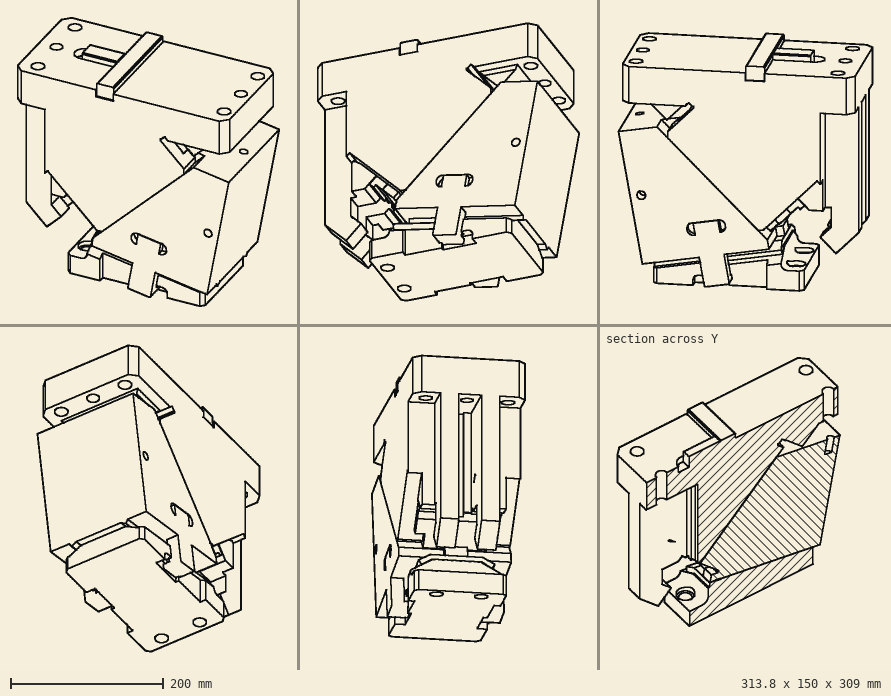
import cadquery as cq
import math

total_length = 313.8
half_width = 75.0

ramp_angle = math.radians(10)
ramp_x = 99.5
ramp_z = 53.0
crest_half = 33.0
flank_angle = math.radians(30)
liner_thickness = 8.0

incline_x = 117.0
incline_z = 74.0
diagonal = math.sqrt(0.5)

neck_half = 42.0
neck_height = 20.0
head_half = 55.0
head_height = 42.0
slot_length = 191.5

holder_length = 310.0
plate_bottom = 250.0
plate_top = 300.3
plate_chamfer = 10.0
column_x = 44.5
column_foot = 109.8
core_half = 56.0
core_height = 47.0
bar_low = 55.2
bar_high = 63.7
bar_projection = 4.5
end_setback = 10.5

gap_width = 9.5
gap_bottom = (213.5, 248.2)
column_nose_x = 248.2
column_tip_z = 85.0
column_tip_bevel = 5.3
notch_rise = 4.5

leg_inner = 15.0
leg_outer = 39.5
leg_tip = (30.0, 47.0)
leg_hook = (51.0, 68.5)
leg_back = 36.7
channel_x = 76.5
groove_half = 5.3
groove_depth = 6.3

bolt_diameter = 17.5
dowel_diameter = 16.3
front_holes_x = 24.8
front_holes_y = 55.0
rear_holes_x = 294.7
rear_holes_y = 50.0

key_top = 309.0
key_seat = 289.5
key_width = 25.5
cross_key_x = 119.2
cross_key_range = (cross_key_x, cross_key_x + key_width)
cross_key_half = 72.8
long_key_x = 68.7
long_key_seat_x = 52.0
key_chamfer = 1.5

rib_root = (226.0, 279.5)
rib_tip = (252.5, 223.5)
rib_half = 55.5
rib_flare = 4.5

slide_front = 12.2
slide_bottom = 8.8
slide_top = 192.0
slide_rear = (total_length - ramp_x - slide_top * math.sin(ramp_angle)) / math.cos(ramp_angle)

skirt_front = 20.7
skirt_half = 42.7
nose_top = 21.3
nose_half = 15.0
nose_chamfer = 2.5

hook_front = 73.0
hook_rear = 106.7
hook_top = 56.0
hook_toe = -32.3
hook_radius = 2.0
hook_inner = 57.7
toe_inner = 48.0
toe_height = 7.0
hook_seat_front = 64.3
hook_seat_rear = 116.5
hook_seat_v = 48.0
hook_seat_radius = 8.5
hook_seat_depth = 9.5
rounding_margin = 0.05

side_hole_x = 283.5
side_hole_z = 124.3
side_hole_diameter = 11.3
side_hole_depth = 18.8
top_hole_x = 298.7
top_hole_diameter = 10.7
top_hole_depth = 25.0

base_front = 69.7
base_rear = 270.2
base_chamfer = 5.3
flange_top = 27.3
flange_half = 61.5
shoulder_x = 118.5
base_half = 53.0
foot_radius = 8.5
liner_half = 50.8
liner_front = 2.0
liner_rear = 84.7
flange_hole_x = 84.7
flange_hole_y = 29.8
flange_hole_diameter = 17.5
flange_bore_diameter = 24.5
flange_bore_depth = 6.3
relief_front = 170.0
relief_rear = 216.8
relief_height = 14.0
relief_radius = 7.5


def ramp_point(u, v):
    """X and Z of a point given in ramp coordinates."""
    x = ramp_x + u * math.cos(ramp_angle) + v * math.sin(ramp_angle)
    z = ramp_z - u * math.sin(ramp_angle) + v * math.cos(ramp_angle)
    return x, z


def incline_point(along, up):
    """X and Z of a point given along and square to the sliding face."""
    return incline_x + (along - up) * diagonal, incline_z + (along + up) * diagonal


def side_prism(points, y_near, y_far):
    """Extrude an XZ outline between two Y positions."""
    sketch = cq.Workplane("XZ", origin=(0, y_near, 0)).polyline(points).close()
    return sketch.extrude(y_near - y_far)


def block(x_range, y_range, z_range):
    size = [high - low for low, high in (x_range, y_range, z_range)]
    corner = (x_range[0], y_range[0], z_range[0])
    return cq.Workplane("XY").box(*size, centered=False).translate(corner)


def ramp_prism(points, u_start, u_end):
    """Extrude a cross-section, given as (y, v) points, along the ramp."""
    x, z = ramp_point(u_start, 0)
    normal = (math.cos(ramp_angle), 0, -math.sin(ramp_angle))
    section = cq.Plane(origin=(x, 0, z), xDir=(0, 1, 0), normal=normal)
    return cq.Workplane(section).polyline(points).close().extrude(u_end - u_start)


def ramp_block(u_range, v_range, y_range):
    """Box with its sides along ramp coordinates."""
    u_low, u_high = u_range
    v_low, v_high = v_range
    corners = [(u_low, v_low), (u_high, v_low), (u_high, v_high), (u_low, v_high)]
    return side_prism([ramp_point(*corner) for corner in corners], *y_range)


def mirrored(points):
    """Complete a right-hand half outline, listed from top to bottom, with its left half."""
    return points + [(-y, v) for y, v in reversed(points)]


def both_sides(body):
    return body.union(body.mirror("XZ"))


def roof_edge(offset, y):
    """Height v of the ramp flank at y, for a layer this far above the bare ramp."""
    knee = crest_half + offset * math.tan(flank_angle / 2)
    return offset - (y - knee) * math.tan(flank_angle)


def roof_outline(offset, half, depth):
    """Cross-section under a crest and its two flanks, down to a flat bottom."""
    knee = crest_half + offset * math.tan(flank_angle / 2)
    return mirrored([(knee, offset), (half, roof_edge(offset, half)), (half, -depth)])


def tongue(length):
    """T-shaped guide standing on the sliding face."""
    def bar(low, high, half):
        corners = [(0, low), (length, low), (length, high), (0, high)]
        return side_prism([incline_point(*corner) for corner in corners], -half, half)

    neck = bar(0, neck_height, neck_half)
    return neck.union(bar(neck_height, head_height, head_half))


def holder_column():
    """Wide column under the plate, cut at 45 degrees above the slide."""
    gap_x, gap_z = gap_bottom
    nose_drop = column_nose_x - gap_x
    face_offset = incline_z - incline_x
    end_sum = incline_x + incline_z + end_setback / diagonal
    notch_x = column_x + notch_rise
    outline = [
        (column_x, gap_z + gap_width),
        (column_x, end_sum - notch_x - notch_rise),
        (notch_x, end_sum - notch_x),
        (end_sum - column_tip_z - column_tip_bevel, column_tip_z + column_tip_bevel),
        (end_sum - column_tip_z, column_tip_z),
        (column_tip_z - face_offset, column_tip_z),
        (column_nose_x, column_nose_x + face_offset),
        (column_nose_x, gap_z - nose_drop),
        gap_bottom,
        (gap_x, gap_z + gap_width),
    ]
    return side_prism(outline, -half_width, half_width)


def holder_core():
    """Narrow middle of the column, with a stop bar below it at the end of the tongue."""
    inside = end_setback + 6.3
    bar_bottom = incline_point(-bar_projection, bar_low)
    bar_top = incline_point(-bar_projection, bar_high)
    core = [
        (column_x, column_foot + core_height),
        (column_x, column_foot),
        (bar_top[0] - (bar_top[1] - column_foot), column_foot),
        bar_top,
        incline_point(inside, bar_high),
    ]
    bar = [
        bar_top,
        bar_bottom,
        incline_point(0, bar_low),
        incline_point(0, head_height),
        incline_point(inside, head_height),
        incline_point(inside, bar_high),
    ]
    return side_prism(core, -core_half, core_half).union(side_prism(bar, -head_half, head_half))


def holder_leg():
    """Hooked leg in front of the column."""
    outline = [
        (0, plate_bottom),
        (0, leg_tip[1] + leg_tip[0]),
        leg_tip,
        leg_hook,
        (leg_back, leg_hook[1] + leg_hook[0] - leg_back),
        (leg_back, column_foot),
        (column_x, column_foot),
        (column_x, plate_bottom),
    ]
    return side_prism(outline, leg_inner, leg_outer)


def stop_rib():
    """Triangular rib under the plate, flared where it joins."""
    root_front, root_rear = rib_root
    triangle = [(root_front, plate_bottom), rib_tip, (root_rear, plate_bottom)]
    wide = rib_half + rib_flare
    rib = side_prism(triangle, -wide, wide)
    outline = mirrored([
        (wide, plate_bottom),
        (rib_half, plate_bottom - rib_flare),
        (rib_half, rib_tip[1]),
    ])
    flare = cq.Workplane("YZ").polyline(outline).close().extrude(total_length)
    return rib.intersect(flare)


def top_keys():
    """Cross key and long key standing in their seats."""
    cross = block(cross_key_range, (-cross_key_half, cross_key_half), (key_seat, key_top))
    cross = cross.faces(">Z").edges("|Y").chamfer(key_chamfer)
    half = key_width / 2
    long = block((long_key_x, cross_key_x), (-half, half), (key_seat, key_top))
    long = long.faces(">Z").edges("|X").chamfer(key_chamfer)
    return cross.union(long)


def cut_key_seats(body):
    half = key_width / 2
    body = body.cut(block(cross_key_range, (-half_width, half_width), (key_seat, plate_top)))
    round_x = long_key_seat_x + half
    seat = block((round_x, cross_key_x), (-half, half), (key_seat, plate_top))
    round_end = cq.Workplane("XY", origin=(round_x, 0, key_seat)).circle(half).extrude(plate_top - key_seat)
    return body.cut(seat.union(round_end))


def cut_plate_holes(body):
    for x, y in ((front_holes_x, front_holes_y), (rear_holes_x, rear_holes_y)):
        plane = cq.Workplane("XY", origin=(0, 0, plate_bottom))
        height = plate_top - plate_bottom
        bolts = plane.pushPoints([(x, y), (x, -y)]).circle(bolt_diameter / 2).extrude(height)
        dowel = plane.center(x, 0).circle(dowel_diameter / 2).extrude(height)
        body = body.cut(bolts).cut(dowel)
    return body


def build_holder():
    plate = block((0, holder_length), (-half_width, half_width), (plate_bottom, plate_top))
    plate = plate.edges("|Z").chamfer(plate_chamfer)
    gap_x, gap_z = gap_bottom
    gap_step = gap_width * diagonal
    gap_outline = [
        gap_bottom,
        (gap_x + gap_step, gap_z + gap_step),
        (gap_x + 2 * gap_step, gap_z),
        (gap_x + gap_step, gap_z - gap_step),
    ]
    gap = side_prism(gap_outline, -half_width, half_width)
    channel = block((0, channel_x), (-leg_inner, leg_inner), (0, plate_bottom))
    groove = block((0, channel_x + groove_depth), (-groove_half, groove_half), (0, plate_bottom))

    body = plate.union(holder_column()).union(holder_core()).cut(gap)
    body = body.union(stop_rib()).cut(tongue(slot_length))
    body = body.union(both_sides(holder_leg())).cut(channel).cut(groove)
    body = cut_plate_holes(cut_key_seats(body))
    return body.union(top_keys())


def slide_wedge():
    """Tilted block under the sliding face, with its T-shaped tongue."""
    full_width = (-half_width, half_width)
    tilted = ramp_block((slide_front, slide_rear), (slide_bottom, slide_top), full_width)
    reach = 2 * total_length
    under = [(-reach, 0), (reach, 0), (reach, -reach), (-reach, -reach)]
    under_face = side_prism([incline_point(*corner) for corner in under], *full_width)
    under_top = ramp_block((-reach, reach), (slide_bottom, slide_top), full_width)
    return tilted.intersect(under_face).union(tongue(total_length).intersect(under_top))


def slide_skirt():
    """Shallow skirt under the slide that runs on the flanks of the ramp."""
    edge_v = roof_edge(liner_thickness, skirt_half)
    height = slide_bottom - edge_v
    outline = mirrored([(skirt_half + height * math.tan(flank_angle), slide_bottom), (skirt_half, edge_v)])
    return ramp_prism(outline, skirt_front, slide_rear)


def slide_nose():
    """Stop on the front of the slide, standing over the crest."""
    stop = ramp_block((liner_front, slide_front), (0, nose_top), (-nose_half, nose_half))
    return stop.edges("|Y and <X").edges(">Z").chamfer(nose_chamfer)


def hook_layer(v_top, y_range):
    """Plate from the foot of the hook up to v_top, with its lower corners rounded."""
    plate = ramp_block((hook_front, hook_rear), (hook_toe, v_top), y_range)
    return plate.edges("|Y and (<Z or <X)").fillet(hook_radius)


def hook_foot():
    """Inward toe of a hook, which reaches under the side of the base."""
    return hook_layer(hook_toe + toe_height, (toe_inner, hook_inner))


def hook():
    """Retaining hook on the side of the slide, reaching down beside the base."""
    return hook_layer(hook_top, (hook_inner, half_width)).union(hook_foot())


def hook_seat():
    """Shallow round-ended seat around the top of a hook."""
    v_range = (hook_seat_v - hook_seat_radius, hook_seat_v + hook_seat_radius)
    y_range = (half_width - hook_seat_depth, half_width)
    seat = ramp_block((hook_seat_front, hook_seat_rear), v_range, y_range)
    return seat.edges("|Y").fillet(hook_seat_radius - rounding_margin)


def side_hole():
    hole = cq.Workplane("XZ", origin=(side_hole_x, half_width, side_hole_z))
    return hole.circle(side_hole_diameter / 2).extrude(side_hole_depth)


def top_hole():
    """Blind hole square to the tilted top of the slide."""
    u = (top_hole_x - ramp_x - slide_top * math.sin(ramp_angle)) / math.cos(ramp_angle)
    x, z = ramp_point(u, slide_top)
    inward = (-math.sin(ramp_angle), 0, -math.cos(ramp_angle))
    plane = cq.Plane(origin=(x, 0, z), xDir=(0, 1, 0), normal=inward)
    return cq.Workplane(plane).circle(top_hole_diameter / 2).extrude(top_hole_depth)


def build_slide():
    body = slide_wedge().union(slide_skirt()).union(slide_nose())
    crest = roof_outline(liner_thickness, base_half, half_width)
    body = body.cut(ramp_prism(crest, 0, total_length))
    body = body.cut(both_sides(hook_seat())).cut(both_sides(side_hole())).cut(top_hole())
    return body.union(both_sides(hook()))


def base_ramp():
    """Ramp with a crest and sloping flanks; its rear part is raised by the liner thickness."""
    limits = block((ramp_x, base_rear), (-flange_half, flange_half), (0, ramp_z + liner_thickness))
    reach = total_length
    low = ramp_prism(roof_outline(0, flange_half, reach), -reach, reach)
    high = ramp_prism(roof_outline(liner_thickness, base_half, reach), liner_rear, reach)
    ledge_v = roof_edge(liner_thickness, base_half)
    ledge = ramp_block((liner_rear, reach), (-reach, ledge_v), (-flange_half, flange_half))
    return limits.intersect(low.union(high).union(ledge))


def front_liner():
    """Strip on the front of the ramp, with its edges square to the flanks."""
    lean = liner_thickness * math.sin(flank_angle)
    foot = liner_half - lean
    knee = crest_half + liner_thickness * math.tan(flank_angle / 2)
    outline = mirrored([
        (knee, liner_thickness),
        (liner_half, roof_edge(liner_thickness, liner_half)),
        (foot, roof_edge(0, foot)),
        (crest_half, 0),
    ])
    return ramp_prism(outline, liner_front, liner_rear)


def base_foot():
    """Flange in front of the ramp, blended into it by a hollow round."""
    flange = block((base_front, ramp_x), (-flange_half, flange_half), (0, flange_top))
    start_x = ramp_x - foot_radius
    bend = foot_radius * (1 - diagonal)
    blend = (
        cq.Workplane("XZ", origin=(0, flange_half, 0))
        .moveTo(start_x, flange_top)
        .threePointArc((ramp_x - bend, flange_top + bend), (ramp_x, flange_top + foot_radius))
        .lineTo(ramp_x, flange_top)
        .close()
        .extrude(2 * flange_half)
    )
    return flange.union(blend)


def flange_holes():
    spots = [(flange_hole_x, flange_hole_y), (flange_hole_x, -flange_hole_y)]
    hole = cq.Workplane("XY").pushPoints(spots).circle(flange_hole_diameter / 2).extrude(flange_top)
    seat = cq.Workplane("XY", origin=(0, 0, flange_top - flange_bore_depth)).pushPoints(spots)
    return hole.union(seat.circle(flange_bore_diameter / 2).extrude(ramp_z))


def side_trim():
    """Material taken off the side of the base so that a hook can reach down past it."""
    outline = [
        (shoulder_x, 0),
        (shoulder_x, ramp_z),
        ramp_point(hook_rear, ramp_z),
        ramp_point(hook_rear, -ramp_z),
    ]
    return side_prism(outline, base_half, flange_half)


def hook_relief():
    """Recess under the side of the base that takes the toe of a hook."""
    recess = block((relief_front, relief_rear), (toe_inner, flange_half), (0, relief_height))
    return recess.edges("|Y and >Z and >X").fillet(relief_radius).union(hook_foot())


def build_base():
    body = base_foot().union(base_ramp()).cut(both_sides(side_trim())).union(front_liner())
    for x, inward in ((base_front, base_chamfer), (base_rear, -base_chamfer)):
        tip = [(x, flange_half), (x + inward, flange_half), (x, flange_half - base_chamfer)]
        corner = cq.Workplane("XY").polyline(tip).close()
        body = body.cut(both_sides(corner.extrude(ramp_z)))
    return body.cut(flange_holes()).cut(both_sides(hook_relief()))


holder = build_holder()
slide = build_slide()
base = build_base()

result = cq.Compound.makeCompound([holder.solids().val(), slide.solids().val(), base.solids().val()])